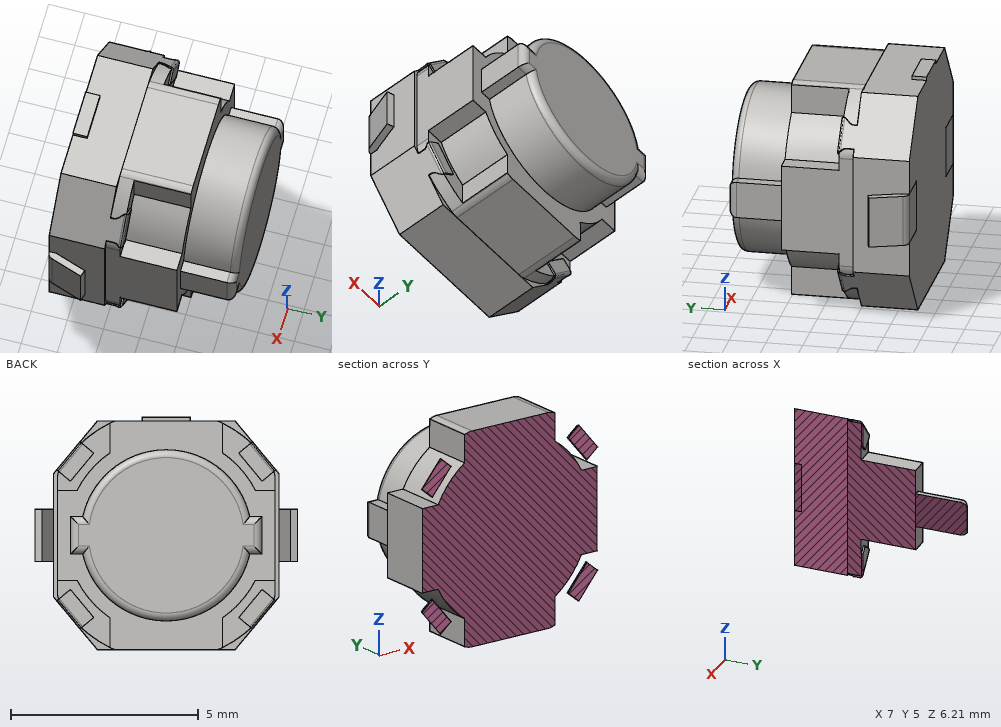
import cadquery as cq
import math


base_depth = 1.53
step_depth = 1.93
housing_depth = 3.5
overall_depth = 5.0

overall_width = 7.0
base_width = 6.02
base_height = 6.105
base_flat_x = 3.67
base_flat_z = 3.275
tab_width = 1.28
tab_depth = 0.4
tab_height = 0.1

clip_sheet = 0.05
clip_bend_radius = 0.09
clip_reach = 0.475
clip_lip_side = 0.525
clip_lip_top = 0.45
clip_neck_side = 0.43
clip_neck_top = 0.245
neck_top_end = base_depth + 0.055
neck_side_end = base_depth + 0.21
clip_flare_end = step_depth - 0.03

housing_width = 5.795
housing_barrel_radius = 2.66
arm_width_x = 2.995
arm_width_z = 2.395
skirt_radius = 3.345
skirt_blend_radius = 0.49

button_radius = 2.28
key_span = 5.095
key_width = 1.0
button_fillet = 0.21

contact_height = 1.4
contact_thickness = 0.2
contact_pad_start = 2.01
contact_lean = math.radians(19)

corner_run_x = (base_width - base_flat_x) / 2
corner_run_z = (base_height - base_flat_z) / 2
corner_length = math.hypot(corner_run_x, corner_run_z)
corner_normal_x = corner_run_z / corner_length
corner_normal_z = corner_run_x / corner_length
corner_distance = base_width / 2 * corner_normal_x + base_flat_z / 2 * corner_normal_z


def block(size_x, size_z, y_start, y_end):
    """Box centred on the button axis between two depths."""
    depth = y_end - y_start
    return cq.Workplane("XY").box(size_x, depth, size_z).translate((0, y_start + depth / 2, 0))


def cylinder(radius, y_start, y_end):
    """Cylinder on the button axis between two depths."""
    plane = cq.Workplane("XZ", origin=(0, y_start, 0))
    return plane.circle(radius).extrude(y_start - y_end)


def make_contact():
    """Right-hand contact: a pad flush with the front, a bend, and a leg leaning outward."""
    base_side = base_width / 2
    lean_sin = math.sin(contact_lean)
    lean_cos = math.cos(contact_lean)
    leg_length = (overall_width / 2 - base_side - contact_thickness * lean_cos) / lean_sin

    def bend_point(angle):
        return (
            base_side + contact_thickness * math.cos(angle),
            contact_thickness + contact_thickness * math.sin(angle),
        )

    bend_end = bend_point(-contact_lean)
    bend_middle = bend_point(-(math.pi / 2 + contact_lean) / 2)
    leg_x = leg_length * lean_sin
    leg_y = leg_length * lean_cos
    return (
        cq.Workplane("XY", origin=(0, 0, -contact_height / 2))
        .moveTo(contact_pad_start, 0)
        .lineTo(base_side, 0)
        .threePointArc(bend_middle, bend_end)
        .line(leg_x, leg_y)
        .lineTo(base_side + leg_x, contact_thickness + leg_y)
        .lineTo(base_side, contact_thickness)
        .lineTo(contact_pad_start, contact_thickness)
        .close()
        .extrude(contact_height)
    )


def make_clip():
    """Clip at the +X +Z corner: a flared tongue with a lip bent over the housing step."""
    lip_top = step_depth + clip_sheet
    corner_plane = cq.Plane(
        origin=(corner_distance * corner_normal_x, 0, corner_distance * corner_normal_z),
        xDir=(corner_normal_z, 0, -corner_normal_x),
        normal=(corner_normal_x, 0, corner_normal_z),
    )
    strip = (
        cq.Workplane("YZ", origin=(-clip_lip_top, 0, 0))
        .moveTo(base_depth, -clip_sheet)
        .lineTo(base_depth, 0)
        .lineTo(lip_top - clip_bend_radius, 0)
        .radiusArc((lip_top, -clip_bend_radius), clip_bend_radius)
        .lineTo(lip_top, -clip_reach)
        .lineTo(step_depth, -clip_reach)
        .lineTo(step_depth, -clip_sheet)
        .close()
        .extrude(clip_lip_top + clip_lip_side)
    )
    outline = (
        cq.Workplane("XY", origin=(0, 0, -clip_reach))
        .moveTo(-clip_neck_top, base_depth)
        .lineTo(clip_neck_side, base_depth)
        .lineTo(clip_neck_side, neck_side_end)
        .spline([(clip_lip_side, clip_flare_end)], tangents=[(0, 1), (1, 1)], includeCurrent=True)
        .lineTo(clip_lip_side, lip_top)
        .lineTo(-clip_lip_top, lip_top)
        .lineTo(-clip_lip_top, clip_flare_end)
        .spline([(-clip_neck_top, neck_top_end)], tangents=[(1, -2), (0, -1)], includeCurrent=True)
        .close()
        .extrude(clip_reach)
    )
    clip = strip.intersect(outline)
    return cq.Workplane(clip.val().moved(corner_plane.location))


def make_base(contacts):
    """Octagonal block with a top tab, four corner clips and pockets for the contact pads."""
    half_width = base_width / 2
    half_height = base_height / 2
    octagon = [
        (base_flat_x / 2, half_height),
        (half_width, base_flat_z / 2),
        (half_width, -base_flat_z / 2),
        (base_flat_x / 2, -half_height),
        (-base_flat_x / 2, -half_height),
        (-half_width, -base_flat_z / 2),
        (-half_width, base_flat_z / 2),
        (-base_flat_x / 2, half_height),
    ]
    base = cq.Workplane("XZ").polyline(octagon).close().extrude(-base_depth)
    tab = cq.Workplane("XY", origin=(0, tab_depth / 2, half_height))
    base = base.union(tab.rect(tab_width, tab_depth).extrude(tab_height))

    top_right_clip = make_clip()
    top_left_clip = top_right_clip.mirror("YZ")
    for clip in (top_right_clip, top_left_clip):
        base = base.union(clip).union(clip.mirror("XY"))
    for contact in contacts:
        base = base.cut(contact)
    return base


def make_housing(base):
    """Cross-shaped body with a round barrel, on a full skirt relieved for the base clips."""
    body = block(housing_width, base_height, base_depth, housing_depth)
    body = body.intersect(cylinder(skirt_radius, base_depth, housing_depth))
    body = body.edges("|Y").fillet(skirt_blend_radius)

    skirt = block(base_width, base_height, base_depth, step_depth)
    barrel = cylinder(housing_barrel_radius, base_depth, housing_depth)
    upright_arms = block(arm_width_x, base_height, base_depth, housing_depth)
    side_arms = block(housing_width, arm_width_z, base_depth, housing_depth)
    envelope = skirt.union(barrel).union(upright_arms).union(side_arms)
    return body.intersect(envelope).cut(base)


def make_button():
    """Round button with a key on each side and a rounded rim."""
    button = cylinder(button_radius, housing_depth, overall_depth)
    button = button.union(block(key_span, key_width, housing_depth, overall_depth))
    return button.faces(">Y").edges().fillet(button_fillet)


right_contact = make_contact()
contacts = [right_contact, right_contact.mirror("YZ")]
base = make_base(contacts)
housing = make_housing(base)
button = make_button()

result = cq.Compound.makeCompound(
    [base.val(), housing.val(), button.val(), *[contact.val() for contact in contacts]]
)